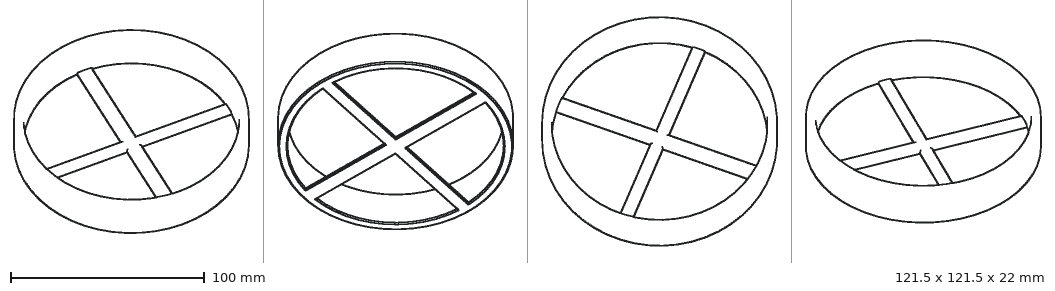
import cadquery as cq

outer_diameter = 121.5
inner_diameter = 111.5
height = 22.0
rim_fillet = 1.0

x_spoke_width = 8.5
y_spoke_width = 7.0
spoke_thickness = 2.0
spoke_fillet = 0.9

ring_chamfer = 0.7
spoke_chamfer = 0.4


def make_ring():
    """Ring with rounded upper rims and beveled lower rims."""
    ring = cq.Workplane("XY").circle(outer_diameter / 2).circle(inner_diameter / 2).extrude(height)
    ring = ring.faces(">Z").edges().fillet(rim_fillet)
    return ring.faces("<Z").edges().chamfer(ring_chamfer)


def make_spokes():
    """Cross with rounded upper edges and beveled lower edges, ending inside the ring wall."""
    mid_wall_diameter = (outer_diameter + inner_diameter) / 2
    cross = cq.Workplane("XY").rect(outer_diameter, x_spoke_width).extrude(spoke_thickness)
    cross = cross.union(cq.Workplane("XY").rect(y_spoke_width, outer_diameter).extrude(spoke_thickness))
    cross = cross.faces(">Z").edges().fillet(spoke_fillet)
    cross = cross.faces("<Z").edges().chamfer(spoke_chamfer)
    return cross.intersect(cq.Workplane("XY").circle(mid_wall_diameter / 2).extrude(spoke_thickness))


result = make_ring().union(make_spokes())